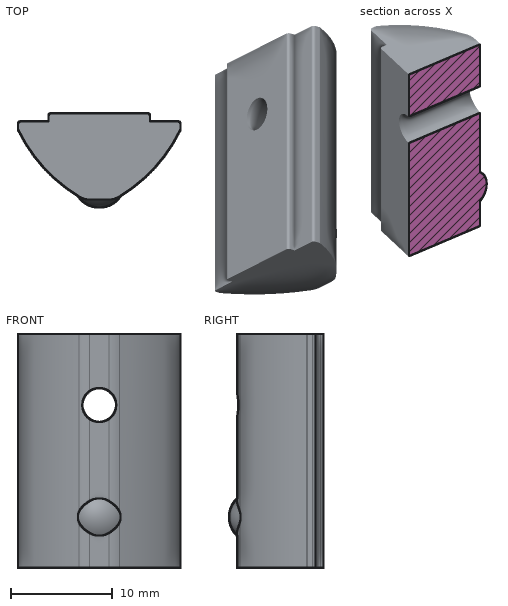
import cadquery as cq

length = 23.0
width = 16.0
body_depth = 8.5

rib_width = 10.0
rib_height = 0.8
outer_corner_radius = 0.3

side_wall_end = 1.61
flank_radius = 15.5
wall_fillet_radius = 0.2
nose_width = 3.0
nose_fillet_radius = 2.0

hole_diameter = 3.3
hole_height = 16.0

ball_radius = 2.5
ball_protrusion = 0.8
ball_height = 5.0


def make_body():
    half_width = width / 2
    half_rib = rib_width / 2
    half_nose = nose_width / 2
    body = (
        cq.Workplane("XY")
        .moveTo(-half_rib, 0)
        .lineTo(half_rib, 0)
        .lineTo(half_rib, -rib_height)
        .lineTo(half_width, -rib_height)
        .lineTo(half_width, -side_wall_end)
        .radiusArc((half_nose, -body_depth), flank_radius)
        .lineTo(-half_nose, -body_depth)
        .radiusArc((-half_width, -side_wall_end), flank_radius)
        .lineTo(-half_width, -rib_height)
        .lineTo(-half_rib, -rib_height)
        .close()
        .extrude(length)
    )
    return round_long_edges(body)


def edges_at(body, half_spacing, depth):
    """Select the mirrored pair of lengthwise edges at X = +/- half_spacing, Y = -depth."""
    mid_height = length / 2
    pair = body.edges(cq.selectors.NearestToPointSelector((half_spacing, -depth, mid_height)))
    return pair.add(body.edges(cq.selectors.NearestToPointSelector((-half_spacing, -depth, mid_height))))


def round_long_edges(body):
    body = edges_at(body, nose_width / 2, body_depth).fillet(nose_fillet_radius)
    body = edges_at(body, rib_width / 2, 0).fillet(outer_corner_radius)
    body = edges_at(body, width / 2, side_wall_end).fillet(wall_fillet_radius)
    return edges_at(body, width / 2, rib_height).fillet(outer_corner_radius)


def make_hole():
    return (
        cq.Workplane("XZ")
        .center(0, hole_height)
        .circle(hole_diameter / 2)
        .extrude(body_depth)
    )


def make_ball():
    ball_center_y = -(body_depth + ball_protrusion - ball_radius)
    return cq.Workplane("XY").sphere(ball_radius).translate((0, ball_center_y, ball_height))


result = make_body().cut(make_hole()).union(make_ball())